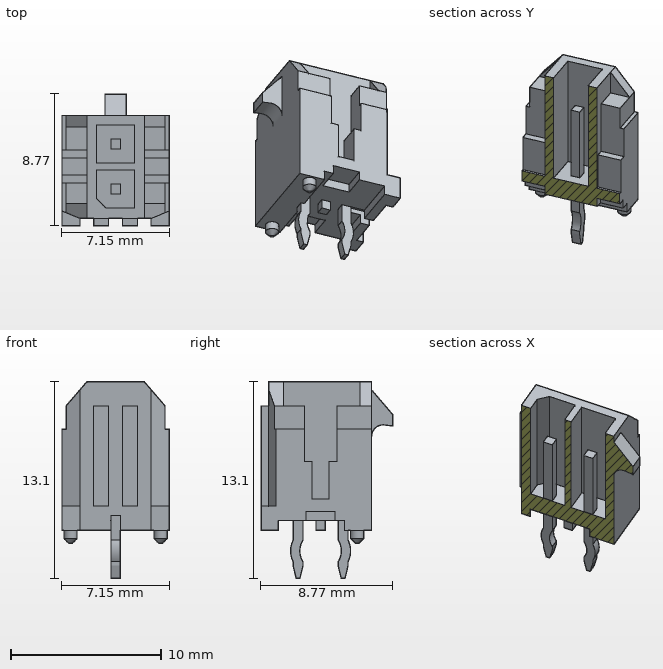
import cadquery as cq
import math


body_width = 7.15
body_depth = 6.86
total_height = 13.09
body_height = 9.9
core_half_width = 1.91
shoulder_half_width = 3.3
shoulder_base = 6.74
shoulder_top = 8.29
gusset_back = 0.79
gusset_front = 0.98
front_flat_half_width = 2.35
corner_setback = 0.5

foot_height = 1.61
front_overhang = 0.5
rib_inner = 0.46
rib_outer = 1.47

row_center = 3.45
slot_width = 2.17
slot_floor = 4.6
slot_narrow_width = 1.15
slot_narrow_floor = 2.1
base_gap_height = 0.65
front_wall = 0.65
back_block = 1.8
side_notch_width = 1.91
side_notch_top = 1.27
standoff_size = 0.63

pitch = 3.0
cavity_size = 2.51
cavity_floor = slot_narrow_floor
key_chamfer = 0.62
pin_width = 0.63
pin_thickness = 0.67
pin_top = 7.2
pin_tip = body_height - total_height
pin_tip_thickness = 0.26
pin_taper_start = -2.35
bend_top = -0.64
bend_bottom = -2.08
bend_inner_bulge = 0.21
bend_outer_bulge = 0.17
pin_slot_height = 1.0

latch_width = 1.44
latch_reach = 1.41
latch_root = 9.35
latch_tip_top = 7.7
latch_tip_bottom = 6.94
latch_fillet = 0.76
latch_fillet_end = 6.26

peg_radius = 0.45
peg_tip_radius = 0.12
peg_length = 0.86
peg_cone = 0.33
peg_x = 3.0
peg_from_back = 0.97

half_width = body_width / 2
front_contact = row_center - pitch / 2
back_contact = row_center + pitch / 2


def block(x0, x1, y0, y1, z0, z1):
    """Axis-aligned box between two opposite corners."""
    return cq.Workplane("XY").box(x1 - x0, y1 - y0, z1 - z0, centered=False).translate((x0, y0, z0))


def centered_block(width, depth, y, z0, z1):
    """Box centred on X = 0 and on the given Y."""
    return block(-width / 2, width / 2, y - depth / 2, y + depth / 2, z0, z1)


def side_profile():
    """Stepped front outline, extruded over the depth of the housing."""
    right = [
        (half_width, 0),
        (half_width, shoulder_base),
        (shoulder_half_width, shoulder_base),
        (shoulder_half_width, shoulder_top),
        (core_half_width, body_height),
    ]
    left = [(-x, z) for x, z in reversed(right)]
    return cq.Workplane("XZ").polyline(right + left).close().extrude(-body_depth)


def side_cuts(side):
    """Material removed from one side (side = 1 or -1): corner, shoulder recess, slot and notch."""
    corner = (
        cq.Workplane("XY")
        .polyline([(front_flat_half_width, 0), (half_width, 0), (half_width, corner_setback)])
        .close()
        .extrude(body_height)
    )
    recess = block(core_half_width, half_width, gusset_front, body_depth - gusset_back,
                   shoulder_top, body_height)
    wide = block(core_half_width, half_width, row_center - slot_width / 2, row_center + slot_width / 2,
                 slot_floor, body_height)
    narrow = block(core_half_width, half_width,
                   row_center - slot_narrow_width / 2, row_center + slot_narrow_width / 2,
                   slot_narrow_floor, body_height)
    notch = block(core_half_width, half_width,
                  row_center - side_notch_width / 2, row_center + side_notch_width / 2,
                  0, side_notch_top)
    cuts = corner.union(recess).union(wide).union(narrow).union(notch)
    return cuts if side > 0 else cuts.mirror("YZ")


def cavities():
    """Two square contact cavities; the front one has a keyed corner."""
    back = centered_block(cavity_size, cavity_size, back_contact, cavity_floor, body_height)
    front = centered_block(cavity_size, cavity_size, front_contact, cavity_floor, body_height)
    front = front.edges("|Z and <X and <Y").chamfer(key_chamfer)
    return front.union(back)


def front_details(side):
    """Foot and rib standing out from the front wall on one side."""
    foot = block(front_flat_half_width, half_width, -front_overhang, corner_setback, 0, foot_height)
    rib = block(rib_inner, rib_outer, -front_overhang, 0, foot_height, shoulder_top)
    details = foot.union(rib)
    return details if side > 0 else details.mirror("YZ")


def contact(y, outward):
    """Contact with a bowed solder tail; outward (1 or -1) is the Y direction of the bow."""
    half = pin_thickness / 2
    bend_middle = (bend_top + bend_bottom) / 2
    inner = y - outward * half
    outer = y + outward * half
    tip = outward * pin_tip_thickness / 2
    return (
        cq.Workplane("YZ")
        .moveTo(inner, pin_top)
        .lineTo(inner, bend_top)
        .threePointArc((inner + outward * bend_inner_bulge, bend_middle), (inner, bend_bottom))
        .lineTo(inner, pin_taper_start)
        .lineTo(y - tip, pin_tip)
        .lineTo(y + tip, pin_tip)
        .lineTo(outer, pin_taper_start)
        .lineTo(outer, bend_bottom)
        .threePointArc((outer + outward * bend_outer_bulge, bend_middle), (outer, bend_top))
        .lineTo(outer, pin_top)
        .close()
        .extrude(pin_width / 2, both=True)
    )


def latch():
    """Ramp hook on the back wall; its underside runs tangent into a round."""
    center_y = body_depth + latch_fillet
    tip_y = body_depth + latch_reach
    dy = tip_y - center_y
    dz = latch_tip_bottom - latch_fillet_end
    tangent = math.atan2(dz, dy) + math.acos(latch_fillet / math.hypot(dy, dz))
    middle = (tangent + math.pi) / 2

    def on_round(angle):
        return (center_y + latch_fillet * math.cos(angle), latch_fillet_end + latch_fillet * math.sin(angle))

    return (
        cq.Workplane("YZ")
        .moveTo(body_depth, latch_root)
        .lineTo(tip_y, latch_tip_top)
        .lineTo(tip_y, latch_tip_bottom)
        .lineTo(*on_round(tangent))
        .threePointArc(on_round(middle), (body_depth, latch_fillet_end))
        .close()
        .extrude(latch_width / 2, both=True)
    )


def peg(x):
    """Round locating peg with a conical end."""
    return (
        cq.Workplane("XY")
        .center(x, body_depth - peg_from_back)
        .circle(peg_radius)
        .extrude(-peg_length)
        .faces("<Z")
        .chamfer(peg_cone, peg_radius - peg_tip_radius)
    )


result = side_profile()
result = result.cut(block(-half_width, half_width, front_wall, body_depth - back_block, 0, base_gap_height))
for side in (1, -1):
    result = result.cut(side_cuts(side))
result = result.cut(cavities())

result = result.cut(block(-pin_width / 2, pin_width / 2, 0, front_contact, 0, pin_slot_height))

for side in (1, -1):
    result = result.union(front_details(side))
    result = result.union(peg(side * peg_x))
result = result.union(centered_block(standoff_size, standoff_size, row_center, 0, base_gap_height))
result = result.union(latch())
result = result.union(contact(front_contact, -1))
result = result.union(contact(back_contact, 1))